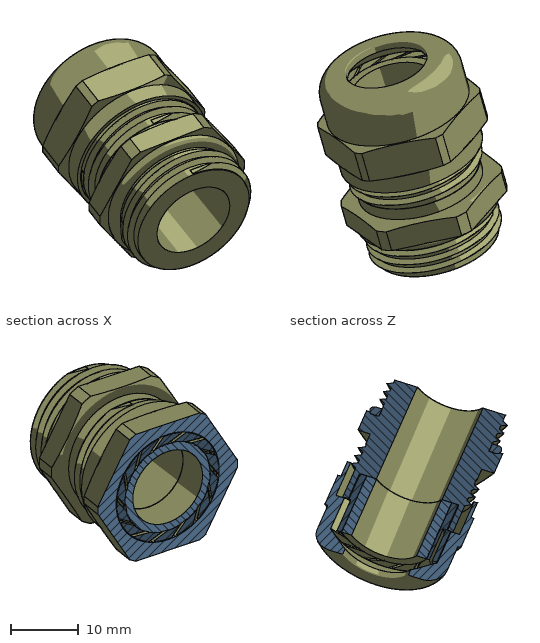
import cadquery as cq
import math


NUT_LENGTH = 15.58
NUT_DIAMETER = 21.7
NUT_FACE_DIAMETER = 15.95
NUT_EDGE_RADIUS = (NUT_DIAMETER - NUT_FACE_DIAMETER) / 2
NUT_HEX_START = 7.27
NUT_HEX_END = 12.9
NUT_HEX_CORNER_DIAMETER = 24.75
LIP_BORE = 12.3
LIP_EDGE_RADIUS = 0.22
LIP_LENGTH = 1.07
NUT_CAVITY_BORE = 18.13
NUT_THREAD_BORE = 20.6

HEX_FLATS = 22.03
CROWN_DEPTH = 0.38
CROWN_DIAMETER = NUT_DIAMETER

BODY_START = 9.45
COLLAR_START = 19.42
BODY_HEX_START = 21.25
BODY_HEX_END = 24.95
RING_SEAT_END = 26.47
BODY_END = 31.47
BODY_HEX_CORNER_DIAMETER = 24.48
NECK_DIAMETER = 18.75
COLLAR_DIAMETER = 18.95
RING_SEAT_DIAMETER = NECK_DIAMETER
SHANK_DIAMETER = 18.82
BODY_BORE = 12.3
SOCKET_BORE = 17.03
SOCKET_END = 14.15

PITCH = 1.48
TURNS = 2.75
CREST_DIAMETER = 20.45
HALF_FLANK_ANGLE = 30
ROOT_OVERLAP = 0.1
NECK_THREAD_END = 18.88
SHANK_THREAD_END = 30.9
RUNOUT_RAMP = 1.75
RUNOUT_LENGTH = 4.4
RUNOUT_MARGIN = 0.3
RUNOUT_END_HEIGHT = 0.1
RUNOUT_RAMP_HEIGHT = 0.2

CLAW_HEAD_DIAMETER = 18.03
CLAW_PLUG_DIAMETER = 16.93
CLAW_BORE = 14.95
CLAW_START = 3.62
FINGER_COUNT = 14
GAP_WIDTH = 0.38
GAP_LENGTH = 4.4
GAP_SKEW = 55
SEAL_BORE = 12.2

RING_END = 26.05
RING_DIAMETER = 21.9
RING_WIDTH = 1.4


def revolve(profile):
    """Turn a closed (x, radius) outline around the X axis."""
    return profile.close().revolve(360, (0, 0, 0), (1, 0, 0))


def cylinder(start, end, diameter):
    """Solid cylinder on the X axis."""
    return cq.Workplane("YZ", origin=(start, 0, 0)).circle(diameter / 2).extrude(end - start)


def tube(start, end, outer, inner):
    """Plain tube on the X axis, sized by its two diameters."""
    return cylinder(start, end, outer).cut(cylinder(start, end, inner))


def hexagon(start, end, corner_diameter, crown_both_ends):
    """Hexagon with flats facing up and down, rounded corners and conical crowns."""
    across_corners = HEX_FLATS / math.cos(math.pi / 6)
    prism = cq.Workplane("YZ", origin=(start, 0, 0)).polygon(6, across_corners).extrude(end - start)
    base = CROWN_DIAMETER / 2
    corner = corner_diameter / 2
    envelope = (
        cq.Workplane("XY")
        .moveTo(start, 0)
        .lineTo(start, base)
        .lineTo(start + CROWN_DEPTH, corner)
    )
    if crown_both_ends:
        envelope = envelope.lineTo(end - CROWN_DEPTH, corner).lineTo(end, base)
    else:
        envelope = envelope.lineTo(end, corner)
    return prism.intersect(revolve(envelope.lineTo(end, 0)))


def runout_cutter(root):
    """Block above a short ramp and a flat, which lowers the first stretch of a ridge."""
    back = -RUNOUT_MARGIN
    top = CREST_DIAMETER / 2 + RUNOUT_MARGIN
    end_height = root + RUNOUT_END_HEIGHT
    ramp_height = root + RUNOUT_RAMP_HEIGHT
    return (
        cq.Workplane("XY", origin=(0, 0, -PITCH / 2))
        .moveTo(end_height, back)
        .lineTo(end_height, 0)
        .lineTo(ramp_height, RUNOUT_RAMP)
        .lineTo(ramp_height, RUNOUT_LENGTH)
        .lineTo(top, RUNOUT_LENGTH)
        .lineTo(top, back)
        .close()
        .extrude(PITCH)
    )


def thread_ridge(thread_end, root_diameter):
    """Right-handed ridge from the -Y side to the +Z side, running out at both ends."""
    length = PITCH * TURNS
    root = root_diameter / 2 - ROOT_OVERLAP
    crest = CREST_DIAMETER / 2
    half_width = (crest - root) * math.tan(math.radians(HALF_FLANK_ANGLE))
    helix = cq.Wire.makeHelix(PITCH, length, root)
    ridge = (
        cq.Workplane("XZ")
        .moveTo(root, -half_width)
        .lineTo(crest, 0)
        .lineTo(root, half_width)
        .close()
        .sweep(cq.Workplane("XY").newObject([helix]), isFrenet=True)
    )
    start_cutter = runout_cutter(root_diameter / 2)
    end_cutter = (
        start_cutter.mirror("XZ")
        .rotate((0, 0, 0), (0, 0, 1), 360 * TURNS)
        .translate((0, 0, length))
    )
    ridge = ridge.cut(start_cutter).cut(end_cutter)
    ridge = ridge.rotate((0, 0, 0), (0, 0, 1), -90).rotate((0, 0, 0), (0, 1, 0), 90)
    return ridge.translate((thread_end - length, 0, 0))


def make_nut():
    dome = cylinder(0, NUT_LENGTH, NUT_DIAMETER).faces("<X").edges().fillet(NUT_EDGE_RADIUS)
    nut = dome.union(hexagon(NUT_HEX_START, NUT_HEX_END, NUT_HEX_CORNER_DIAMETER, True))
    cavity = revolve(
        cq.Workplane("XY")
        .lineTo(0, LIP_BORE / 2 + LIP_EDGE_RADIUS)
        .radiusArc((LIP_EDGE_RADIUS, LIP_BORE / 2), -LIP_EDGE_RADIUS)
        .lineTo(LIP_LENGTH, LIP_BORE / 2)
        .lineTo(CLAW_START, NUT_CAVITY_BORE / 2)
        .lineTo(BODY_START, NUT_CAVITY_BORE / 2)
        .lineTo(BODY_START, NUT_THREAD_BORE / 2)
        .lineTo(NUT_LENGTH, NUT_THREAD_BORE / 2)
        .lineTo(NUT_LENGTH, 0)
    )
    return nut.cut(cavity)


def make_body():
    body = (
        cylinder(BODY_START, COLLAR_START, NECK_DIAMETER)
        .union(cylinder(COLLAR_START, BODY_HEX_END, COLLAR_DIAMETER))
        .union(cylinder(BODY_HEX_END, RING_SEAT_END, RING_SEAT_DIAMETER))
        .union(cylinder(RING_SEAT_END, BODY_END, SHANK_DIAMETER))
        .union(hexagon(BODY_HEX_START, BODY_HEX_END, BODY_HEX_CORNER_DIAMETER, False))
        .union(thread_ridge(NECK_THREAD_END, NECK_DIAMETER))
        .union(thread_ridge(SHANK_THREAD_END, SHANK_DIAMETER))
    )
    body = body.cut(cylinder(BODY_START, BODY_END, BODY_BORE))
    body = body.cut(cylinder(BODY_START, SOCKET_END, SOCKET_BORE))
    return body.cut(make_o_ring())


def make_claw():
    """Plug for the body socket with a wider head, split into fingers by gaps slanted like an iris."""
    head = tube(CLAW_START, BODY_START, CLAW_HEAD_DIAMETER, CLAW_BORE)
    claw = head.union(tube(BODY_START, SOCKET_END, CLAW_PLUG_DIAMETER, CLAW_BORE))
    finger_length = BODY_START - CLAW_START
    wall_radius = (CLAW_HEAD_DIAMETER + CLAW_BORE) / 4
    for index in range(FINGER_COUNT):
        gap = (
            cq.Workplane("XY")
            .box(finger_length, GAP_LENGTH, GAP_WIDTH, centered=(False, True, True))
            .rotate((0, 0, 0), (1, 0, 0), GAP_SKEW)
            .translate((CLAW_START, wall_radius, 0))
            .rotate((0, 0, 0), (1, 0, 0), index * 360 / FINGER_COUNT)
        )
        claw = claw.cut(gap)
    return claw


def make_seal():
    return tube(CLAW_START, SOCKET_END, CLAW_BORE, SEAL_BORE)


def make_o_ring():
    """Ring with straight sides and a half-round outside, its bore tight on the ring seat."""
    start = RING_END - RING_WIDTH
    middle = RING_END - RING_WIDTH / 2
    outer = RING_DIAMETER / 2
    shoulder = outer - RING_WIDTH / 2
    bore = RING_SEAT_DIAMETER / 2
    return revolve(
        cq.Workplane("XY")
        .moveTo(start, bore)
        .lineTo(start, shoulder)
        .threePointArc((middle, outer), (RING_END, shoulder))
        .lineTo(RING_END, bore)
    )


nut = make_nut()
body = make_body()
claw = make_claw()
seal = make_seal()
o_ring = make_o_ring()

result = cq.Compound.makeCompound([nut.val(), body.val(), claw.val(), seal.val(), o_ring.val()])